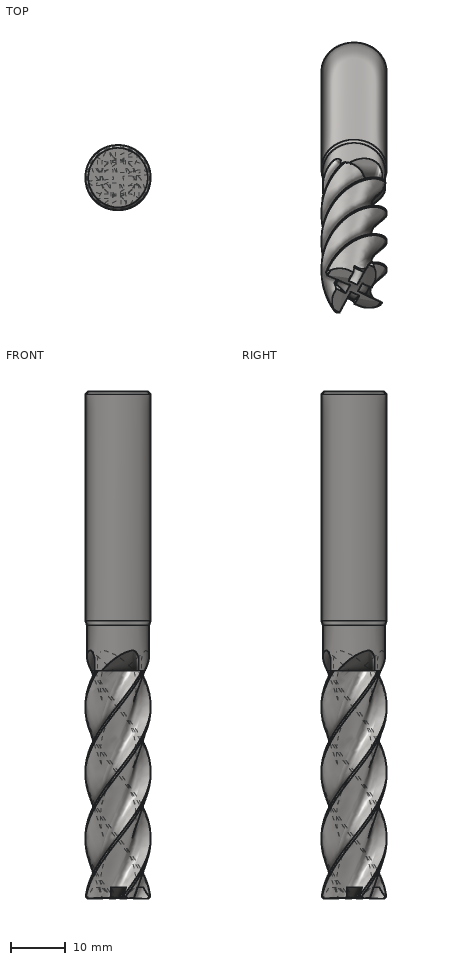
import cadquery as cq
import math

total_length = 93.0
tool_diameter = 12.0
tool_radius = tool_diameter / 2

clear_radius = tool_diameter

shank_bottom = 51.0
shank_chamfer = 0.6
neck_diameter = 11.4
neck_radius = neck_diameter / 2
neck_taper_length = 0.8

flute_count = 4
flute_length = 41.85
helix_angle = 38.0
edge_start_angle = -85.0
tooth_pitch_angle = 360.0 / flute_count
helix_lead = math.pi * tool_diameter / math.tan(math.radians(helix_angle))
twist_angle = 360.0 * flute_length / helix_lead
corner_chamfer = 0.5

margin_angle = 5.0
back_radius = 5.0
back_angle = 24.0
heel_radius = 3.5
heel_angle = 50.0
flute_floor_radius = 3.3
flute_floor_angle = 66.0
rake_root_radius = 4.4
rake_root_angle = 85.0

runout_wall_offset = 3.8
runout_floor_depth = -0.1
runout_floor_lean = 25.5
runout_tilt = 48.0
runout_corner_radius = 0.8
runout_reach = 13.0
runout_start = -2.8

gash_inner_radius = 0.7
gash_height = 2.1
gash_width = 1.7
gash_angle = 45.0
gash_wall_lean = 25.0
gash_setback = 0.1
end_clearance_angle = 5.0
dish_angle = 2.0



def polar(radius, angle):
    """Point in the XY plane at a radius and an angle in degrees."""
    return (radius * math.cos(math.radians(angle)), radius * math.sin(math.radians(angle)))


def around_axis(cutter):
    """One copy of a cutter for every flute."""
    copies = []
    for index in range(flute_count):
        copies.append(cutter.rotate((0, 0, 0), (0, 0, 1), index * tooth_pitch_angle))
    return copies


def make_runout_cutter():
    """Straight flute end: an upright wall and a leaning floor, swept upward and out of the -Y side."""
    tilt = math.radians(runout_tilt)
    sweep_plane = cq.Plane(
        origin=(0, 0, flute_length),
        xDir=(1, 0, 0),
        normal=(0, -math.sin(tilt), math.cos(tilt)),
    )
    floor_drop = runout_reach * math.tan(math.radians(runout_floor_lean))
    corner = (runout_wall_offset, runout_floor_depth)
    floor_end = (runout_wall_offset - runout_reach, runout_floor_depth - floor_drop)
    wall_end = (runout_wall_offset, runout_floor_depth - floor_drop)
    prism = (
        cq.Workplane(sweep_plane)
        .workplane(offset=runout_start)
        .polyline([corner, floor_end, wall_end])
        .close()
        .extrude(runout_reach)
    )
    corner_edge = cq.selectors.NearestToPointSelector(
        sweep_plane.toWorldCoords((*corner, runout_start + runout_reach / 2)).toTuple()
    )
    return prism.edges(corner_edge).fillet(runout_corner_radius)


def make_shank():
    """Plain shank with a tapered step to the neck, which carries the flute run-outs."""
    body = (
        cq.Workplane("XZ")
        .moveTo(0, flute_length)
        .lineTo(neck_radius, flute_length)
        .lineTo(neck_radius, shank_bottom - neck_taper_length)
        .lineTo(tool_radius, shank_bottom)
        .lineTo(tool_radius, total_length - shank_chamfer)
        .lineTo(tool_radius - shank_chamfer, total_length)
        .lineTo(0, total_length)
        .close()
        .revolve(360, (0, 0, 0), (0, 1, 0))
    )
    for runout in around_axis(make_runout_cutter()):
        body = body.cut(runout)
    return body


def make_flutes():
    """Twisted tooth section over the whole cutting length."""
    section = cq.Workplane("XY").moveTo(*polar(tool_radius, edge_start_angle))
    for index in range(flute_count):
        edge = edge_start_angle + index * tooth_pitch_angle
        section = (
            section.threePointArc(
                polar(tool_radius, edge + margin_angle / 2),
                polar(tool_radius, edge + margin_angle),
            )
            .threePointArc(polar(back_radius, edge + back_angle), polar(heel_radius, edge + heel_angle))
            .threePointArc(
                polar(flute_floor_radius, edge + flute_floor_angle),
                polar(rake_root_radius, edge + rake_root_angle),
            )
            .lineTo(*polar(tool_radius, edge + tooth_pitch_angle))
        )
    return section.close().twistExtrude(flute_length, twist_angle)


def make_corner_cutter():
    """Ring with a 45 degree inner face that chamfers the tooth corners."""
    inner_radius = tool_radius - corner_chamfer
    return (
        cq.Workplane("XZ")
        .moveTo(inner_radius, 0)
        .lineTo(clear_radius, 0)
        .lineTo(clear_radius, clear_radius - inner_radius)
        .close()
        .revolve(360, (0, 0, 0), (0, 1, 0))
    )


def make_gash_cutter():
    """Slot ahead of one cutting edge, with a leaning wall and an inner end that slopes outward."""
    gash_run = gash_height / math.tan(math.radians(gash_angle))
    wall_run = gash_height * math.tan(math.radians(gash_wall_lean))
    side_profile = (
        cq.Workplane("XZ")
        .moveTo(gash_inner_radius, 0)
        .lineTo(clear_radius, 0)
        .lineTo(clear_radius, gash_height)
        .lineTo(gash_inner_radius + gash_run, gash_height)
        .close()
        .extrude(tool_radius, both=True)
    )
    end_profile = (
        cq.Workplane("YZ")
        .moveTo(gash_setback, 0)
        .lineTo(gash_setback + wall_run, gash_height)
        .lineTo(gash_setback - gash_width, gash_height)
        .lineTo(gash_setback - gash_width, 0)
        .close()
        .extrude(clear_radius)
    )
    return side_profile.intersect(end_profile).rotate((0, 0, 0), (0, 0, 1), edge_start_angle)


def make_clearance_cutter():
    """Wedge that lifts one tooth's end face behind its cutting edge."""
    clearance_height = tool_radius * math.tan(math.radians(end_clearance_angle))
    return (
        cq.Workplane("YZ")
        .moveTo(gash_setback, 0)
        .lineTo(gash_setback + tool_radius, 0)
        .lineTo(gash_setback + tool_radius, clearance_height)
        .close()
        .extrude(clear_radius)
        .rotate((0, 0, 0), (0, 0, 1), edge_start_angle)
    )


def make_dish_cutter():
    """Shallow cone that hollows the end toward the axis."""
    dish_radius = tool_radius - corner_chamfer
    dish_depth = dish_radius * math.tan(math.radians(dish_angle))
    return cq.Workplane("XY").add(cq.Solid.makeCone(dish_radius, 0, dish_depth))


def make_cutter():
    """Fluted cutting body with trimmed corners and a ground cutting end."""
    body = make_flutes().cut(make_corner_cutter())
    for gash in around_axis(make_gash_cutter()):
        body = body.cut(gash)
    for clearance in around_axis(make_clearance_cutter()):
        body = body.cut(clearance)
    return body.cut(make_dish_cutter())


shank = make_shank()
cutter_body = make_cutter()

result = cq.Compound.makeCompound([shank.val(), cutter_body.val()])